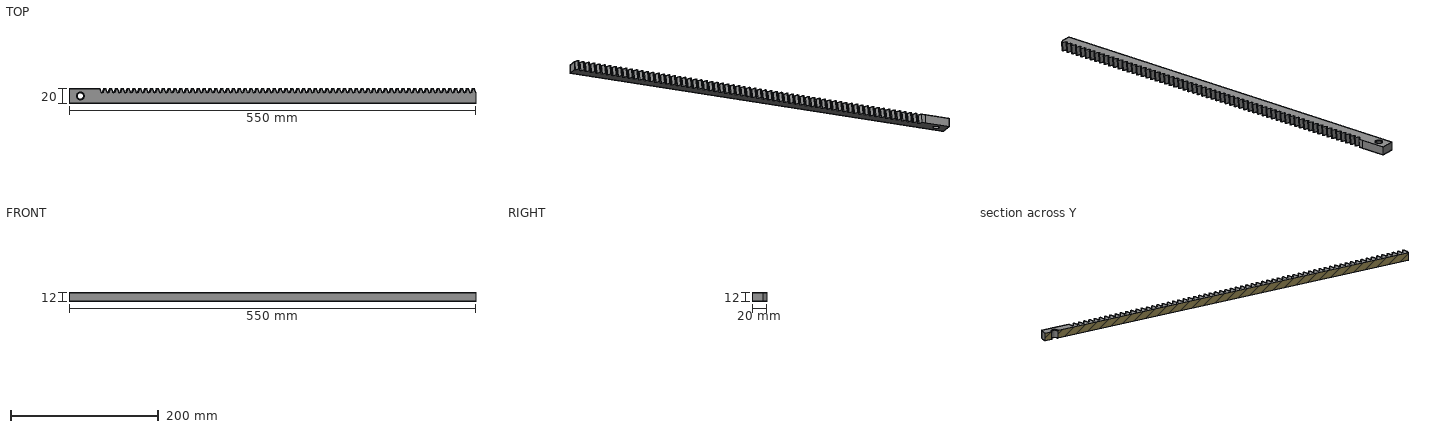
import cadquery as cq
import math

LENGTH = 550.0
HEAD_WIDTH = 20.0
THICKNESS = 12.0

HEAD_LENGTH = 35.0
HOLE_DIAMETER = 8.5
HOLE_CHAMFER = 1.0
HOLE_CHAMFER_CONE_ANGLE = 90.0
HOLE_X = 15.0
HOLE_Y = HEAD_WIDTH / 2

MODULE = 2.5
PRESSURE_ANGLE = math.radians(20)
HELIX_ANGLE = math.radians(6.7)
HEAD_STEP = 0.1
ADDENDUM = MODULE
DEDENDUM = 1.2 * MODULE
GAP_CLEARANCE = 0.25
GAP_COUNT = 65

TIP_Y = HEAD_WIDTH - HEAD_STEP
ROOT_Y = TIP_Y - ADDENDUM - DEDENDUM

PITCH = math.pi * MODULE / math.cos(HELIX_ANGLE)
FLANK_SLOPE = math.tan(PRESSURE_ANGLE) / math.cos(HELIX_ANGLE)
HELIX_SHIFT = THICKNESS * math.tan(HELIX_ANGLE)

PITCH_LINE_GAP_HALF = PITCH / 4 + GAP_CLEARANCE
ROOT_GAP_HALF = PITCH_LINE_GAP_HALF - DEDENDUM * FLANK_SLOPE
TIP_GAP_HALF = PITCH_LINE_GAP_HALF + ADDENDUM * FLANK_SLOPE

LAST_GAP_BOTTOM_X = LENGTH - HELIX_SHIFT / 2


def make_blank():
    """Bar whose head stands slightly proud of the tooth tips."""
    return (
        cq.Workplane("XY")
        .moveTo(0, 0)
        .lineTo(LENGTH, 0)
        .lineTo(LENGTH, TIP_Y)
        .lineTo(HEAD_LENGTH, TIP_Y)
        .lineTo(HEAD_LENGTH, HEAD_WIDTH)
        .lineTo(0, HEAD_WIDTH)
        .close()
        .extrude(THICKNESS)
    )


def drill_hole(bar):
    """Through hole in the head, chamfered at its upper rim."""
    rim_diameter = HOLE_DIAMETER + 2 * HOLE_CHAMFER
    return (
        bar.faces(">Z")
        .workplane(origin=(HOLE_X, HOLE_Y, THICKNESS))
        .cskHole(HOLE_DIAMETER, rim_diameter, HOLE_CHAMFER_CONE_ANGLE)
    )


def make_gap(bottom_x):
    """Trapezoidal tooth gap, slanting toward +X as it rises from the bottom face."""
    outline = cq.Wire.makePolygon(
        [
            cq.Vector(bottom_x - ROOT_GAP_HALF, ROOT_Y, 0),
            cq.Vector(bottom_x + ROOT_GAP_HALF, ROOT_Y, 0),
            cq.Vector(bottom_x + TIP_GAP_HALF, TIP_Y, 0),
            cq.Vector(bottom_x - TIP_GAP_HALF, TIP_Y, 0),
        ],
        close=True,
    )
    return cq.Solid.extrudeLinear(outline, [], cq.Vector(HELIX_SHIFT, 0, THICKNESS))


def cut_teeth(bar):
    """One gap per pitch, counted back from the end of the bar."""
    gaps = [make_gap(LAST_GAP_BOTTOM_X - i * PITCH) for i in range(GAP_COUNT)]
    return bar.cut(cq.Workplane("XY").newObject([cq.Compound.makeCompound(gaps)]))


result = cut_teeth(drill_hole(make_blank()))